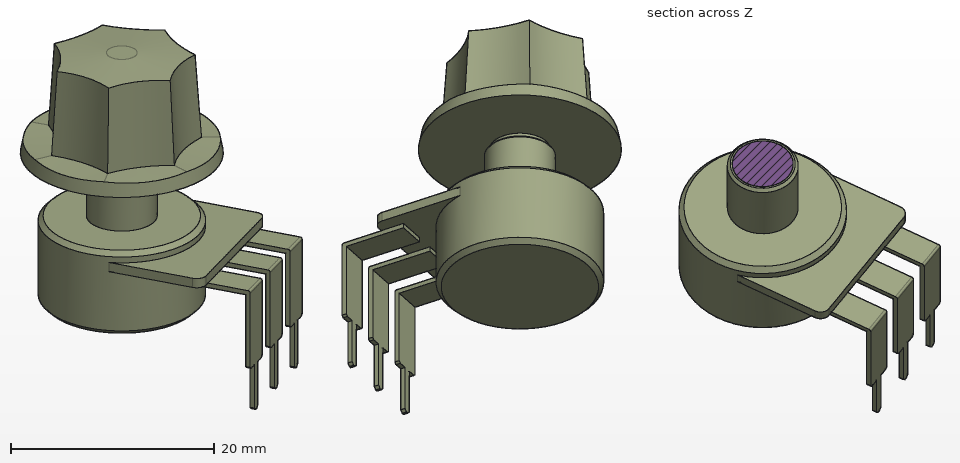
import cadquery as cq
import math

OVERALL_LENGTH = 26.5

CAN_DIAMETER = 16.5
CAN_BOTTOM = 6.65
CAN_HEIGHT = 9.1
CAN_CHAMFER = 0.5
BUSHING_DIAMETER = 7.0
BUSHING_TOP = 22.2
BUSHING_CHAMFER = 0.3
SHAFT_DIAMETER = 6.0
PLATE_TOP = 14.6
PLATE_THICKNESS = 1.0
PLATE_WIDTH = 16.0
PLATE_END = 12.0
PLATE_CORNER_RADIUS = 1.0

TERMINAL_COUNT = 3
TERMINAL_PITCH = 5.0
TERMINAL_WIDTH = 3.02
TERMINAL_THICKNESS = 0.5
TERMINAL_START = 9.45
BEND_RADIUS = 0.25
BLADE_BOTTOM = 5.05
BLADE_CORNER = 0.2
PIN_WIDTH = 0.8
PIN_CORNER = 0.27

KNOB_BOTTOM = 22.65
KNOB_TOP = 33.6
FLANGE_DIAMETER = 20.0
BLANK_TAPER_ANGLE = 11.0
CROWN_FLAT_DIAMETER = 3.02
CROWN_DROP = 0.45
SCALLOP_COUNT = 7
SCALLOP_RADIUS = 10.75
SCALLOP_TILT_ANGLE = 3.0
SCALLOP_FLOOR_ANGLE = 4.5
SCALLOP_INNER_RADIUS = 6.52
SCALLOP_FOOT = 24.12

TERMINAL_END = OVERALL_LENGTH - FLANGE_DIAMETER / 2
CAN_TOP = CAN_BOTTOM + CAN_HEIGHT
PLATE_BOTTOM = PLATE_TOP - PLATE_THICKNESS
KNOB_HEIGHT = KNOB_TOP - KNOB_BOTTOM
BLANK_TOP_RADIUS = FLANGE_DIAMETER / 2 - (KNOB_HEIGHT - CROWN_DROP) * math.tan(math.radians(BLANK_TAPER_ANGLE))


def cylinder(diameter, bottom, top):
    return cq.Workplane("XY").workplane(offset=bottom).circle(diameter / 2).extrude(top - bottom)


def make_plate():
    """Terminal plate, reaching from the can axis to its rounded outer end."""
    return (
        cq.Workplane("XY")
        .box(PLATE_END, PLATE_WIDTH, PLATE_THICKNESS, centered=(False, True, False))
        .edges("|Z and >X")
        .fillet(PLATE_CORNER_RADIUS)
        .translate((0, 0, PLATE_BOTTOM))
    )


def make_potentiometer():
    can = cylinder(CAN_DIAMETER, CAN_BOTTOM, CAN_TOP).edges().chamfer(CAN_CHAMFER)
    bushing = cylinder(BUSHING_DIAMETER, CAN_BOTTOM, BUSHING_TOP).faces(">Z").chamfer(BUSHING_CHAMFER)
    shaft = cylinder(SHAFT_DIAMETER, CAN_BOTTOM, KNOB_BOTTOM)
    plate_inner_trim = math.sqrt((CAN_DIAMETER / 2) ** 2 - (PLATE_WIDTH / 2) ** 2)
    plate = make_plate().cut(
        cq.Workplane("XY")
        .box(plate_inner_trim, PLATE_WIDTH, PLATE_THICKNESS, centered=(False, True, False))
        .translate((0, 0, PLATE_BOTTOM))
    )
    return can.union(bushing).union(shaft).union(plate)


def make_terminal(y_center):
    """Horizontal strip under the plate, bent down into a blade that ends in a narrow pin."""
    strip = (
        cq.Workplane("XY")
        .box(TERMINAL_END - TERMINAL_START, TERMINAL_WIDTH, TERMINAL_THICKNESS, centered=(False, True, False))
        .translate((TERMINAL_START, 0, PLATE_BOTTOM - TERMINAL_THICKNESS))
    )
    blade = (
        cq.Workplane("XY")
        .box(TERMINAL_THICKNESS, TERMINAL_WIDTH, PLATE_BOTTOM - BLADE_BOTTOM, centered=(False, True, False))
        .edges("|X and <Z")
        .chamfer(BLADE_CORNER)
        .translate((TERMINAL_END - TERMINAL_THICKNESS, 0, BLADE_BOTTOM))
    )
    pin = (
        cq.Workplane("XY")
        .box(TERMINAL_THICKNESS, PIN_WIDTH, PLATE_BOTTOM, centered=(False, True, False))
        .edges("|X and <Z")
        .chamfer(PIN_CORNER)
        .translate((TERMINAL_END - TERMINAL_THICKNESS, 0, 0))
    )
    terminal = strip.union(blade).union(pin).edges("|Y and >X and >Z").fillet(BEND_RADIUS)
    return terminal.translate((0, y_center, 0))


def make_knob_blank():
    """Tapered round blank with a flat-centred conical crown."""
    return (
        cq.Workplane("XZ")
        .moveTo(0, KNOB_BOTTOM)
        .lineTo(FLANGE_DIAMETER / 2, KNOB_BOTTOM)
        .lineTo(BLANK_TOP_RADIUS, KNOB_TOP - CROWN_DROP)
        .lineTo(CROWN_FLAT_DIAMETER / 2, KNOB_TOP)
        .lineTo(0, KNOB_TOP)
        .close()
        .revolve(360, (0, 0, 0), (0, 1, 0))
    )


def make_scallop_cutter():
    """Round cutter with a shallow conical tip, leaning towards the knob axis."""
    tip_depth = SCALLOP_RADIUS * math.tan(math.radians(SCALLOP_FLOOR_ANGLE))
    return (
        cq.Workplane("XZ")
        .moveTo(SCALLOP_RADIUS, -tip_depth)
        .lineTo(0, 0)
        .lineTo(0, KNOB_HEIGHT)
        .lineTo(SCALLOP_RADIUS, KNOB_HEIGHT)
        .close()
        .revolve(360, (SCALLOP_RADIUS, 0, 0), (SCALLOP_RADIUS, 1, 0))
        .rotate((0, 0, 0), (0, 1, 0), -SCALLOP_TILT_ANGLE)
        .translate((SCALLOP_INNER_RADIUS, 0, SCALLOP_FOOT))
    )


def make_knob():
    knob = make_knob_blank()
    cutter = make_scallop_cutter()
    for index in range(SCALLOP_COUNT):
        knob = knob.cut(cutter.rotate((0, 0, 0), (0, 0, 1), index * 360 / SCALLOP_COUNT))
    return knob


potentiometer = make_potentiometer()
knob = make_knob()
terminals = [
    make_terminal((index - (TERMINAL_COUNT - 1) / 2) * TERMINAL_PITCH) for index in range(TERMINAL_COUNT)
]

result = cq.Compound.makeCompound(
    [potentiometer.val(), knob.val(), *[terminal.val() for terminal in terminals]]
)